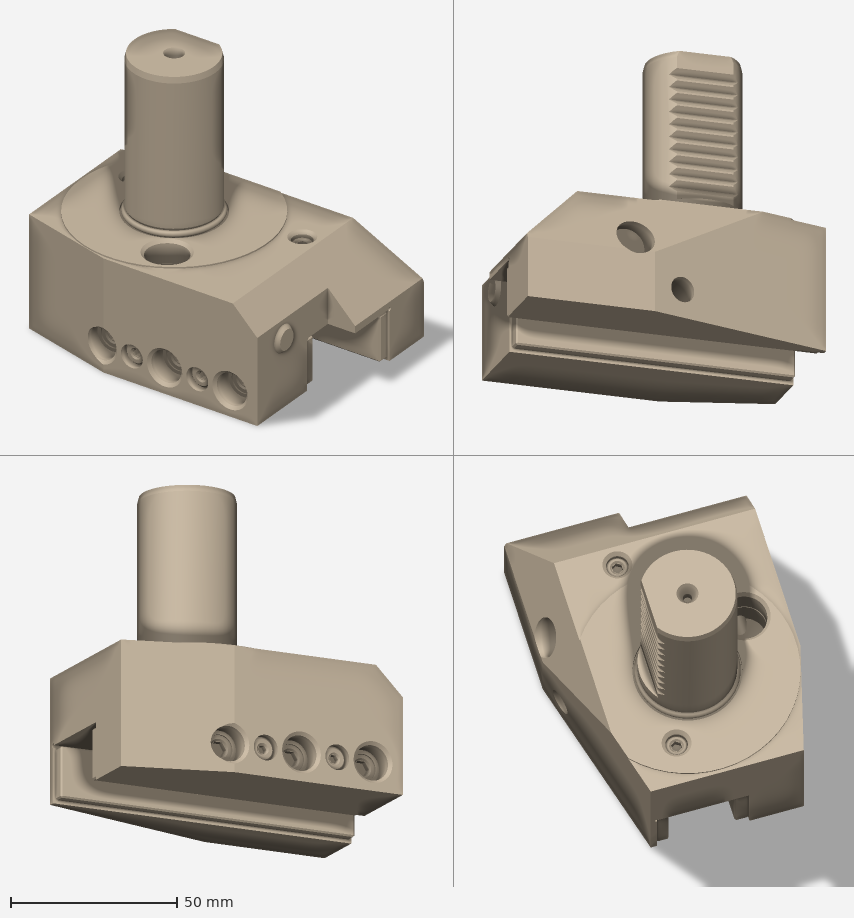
import cadquery as cq
import math


LEFT, RIGHT = -35.0, 65.0
FRONT, BACK = -35.0, 38.0
LEFT_FACE_FRONT, LEFT_FACE_BACK = -26.0, 22.0
SIDE_TAPER = math.tan(math.radians(15))
BLOCK_TOP = 39.5
SIDE_BEVEL = 19.0
BACK_BEVEL_START = 28.1
BACK_EDGE_HEIGHT = 19.0
STEP_X, STEP_Y = 55.0, 2.0

SEAT_HEIGHT = 40.0
SEAT_RADIUS = 34.0
RING_GROOVE_RADIUS = 16.5
RING_GROOVE_DEPTH = 1.0
RING_OUTER_RADIUS = 16.0
RING_SECTION = 1.0

SHANK_RADIUS = 15.0
SHANK_TOP = 94.7
SHANK_ROOT = SEAT_HEIGHT - 10.0
TIP_CHAMFER_WIDTH, TIP_CHAMFER_HEIGHT = 0.5, 2.0
NECK_RADIUS = 14.6
NECK_BOTTOM, NECK_TOP = 41.6, 42.4
FLAT_Y = 12.0
FLAT_BOTTOM = 47.0
TOOTH_COUNT = 10
TOOTH_PITCH = 4.0
TOOTH_DEPTH = 1.7
FIRST_TOOTH_GAP = 51.4
CENTRE_MOUTH_RADIUS, CENTRE_DRILL_RADIUS = 3.3, 1.4
CENTRE_DRILL_DEPTH = 6.0
CENTRE_ANGLE = math.radians(60)

SLOT_FRONT, SLOT_BACK = -9.0, 20.0
SLOT_HEIGHT = 18.0
RELIEF_RADIUS = 0.7
PAD_MARGIN = 0.7
PAD_BOTTOM, PAD_TOP = 1.0, 17.0
BACK_PAD_THICKNESS, FRONT_PAD_THICKNESS = 4.0, 4.4
PAD_CHAMFER = 0.5

CLAMP_SCREW = (5.5, 1.0, 7.5, 4.3, 0.5, 4.5)
PAD_SCREW = (4.0, 0, 2.0, 3.2, -0.8, 2.5)
TOP_SCREW = (3.4, 1.1, 2.0, 2.9, -0.5, 3.0)
SOCKET_DEPTH = 2.5
SOCKET_SINK = 0.5
SCREW_HEIGHT = 9.0
SCREW_PITCH = 24.0
FIRST_CLAMP_X = -3.0
CLAMP_COUNT = 3
TOP_SCREW_X = (-22.0, 40.0)
TOP_SCREW_Y = 10.0

COOLANT_X, COOLANT_Y, COOLANT_HEIGHT = 12.5, -21.5, 24.0
COOLANT_MOUTH_RADIUS, COOLANT_RADIUS = 7.0, 6.8
COOLANT_LEDGE, COOLANT_SHOULDER = 32.0, 24.1
COOLANT_CHAMFER = 1.0
POINT_ANGLE = math.radians(118)
CROSS_DRILL_RADIUS = 2.4
NOZZLE_BASE_RADIUS, NOZZLE_TIP_RADIUS = 4.7, 3.5
NOZZLE_LENGTH = 1.4

PORT_X, PORT_RADIUS, PORT_DEPTH = 30.0, 6.0, 12.0
BACK_SCREW_X, BACK_SCREW_RADIUS = 15.0, 4.0

OVERCUT = 5.0


def box(x, y, z):
    """Box between the given (low, high) limits on each axis."""
    size = (x[1] - x[0], y[1] - y[0], z[1] - z[0])
    return cq.Workplane("XY").box(*size, centered=False).translate((x[0], y[0], z[0]))


def revolved(profile):
    """Turn a closed (radius, height) outline about the Z axis."""
    return cq.Workplane("XZ").polyline(profile).close().revolve(360, (0, 0), (0, 1))


def facing_front(tool):
    """Turn a tool that sinks along -Z so that it sinks along +Y."""
    return tool.rotate((0, 0, 0), (1, 0, 0), 90)


def drill_from_back(x, z, radius, end_y):
    """Straight drilling along Y from the back face to end_y."""
    return cq.Workplane("XZ", origin=(x, BACK, z)).circle(radius).extrude(BACK - end_y)


def outer_envelope():
    """Tapered plan with the step, up to the seat height and with the bevelled back."""
    front_taper_x = LEFT + (LEFT_FACE_FRONT - FRONT) / SIDE_TAPER
    back_taper_x = LEFT + (BACK - LEFT_FACE_BACK) / SIDE_TAPER
    plan = [
        (LEFT, LEFT_FACE_FRONT),
        (front_taper_x, FRONT),
        (STEP_X, FRONT),
        (STEP_X, STEP_Y),
        (RIGHT, STEP_Y),
        (RIGHT, BACK),
        (back_taper_x, BACK),
        (LEFT, LEFT_FACE_BACK),
    ]
    body = cq.Workplane("XY").polyline(plan).close().extrude(SEAT_HEIGHT)
    bevel_slope = (BLOCK_TOP - BACK_EDGE_HEIGHT) / (BACK - BACK_BEVEL_START)
    overcut_rise = OVERCUT * bevel_slope
    bevel = [
        (BACK + OVERCUT, BACK_EDGE_HEIGHT - overcut_rise),
        (BACK_BEVEL_START - OVERCUT, BLOCK_TOP + overcut_rise),
        (BACK + OVERCUT, BLOCK_TOP + overcut_rise),
    ]
    waste = cq.Workplane("YZ", origin=(LEFT, 0, 0)).polyline(bevel).close().extrude(RIGHT - LEFT)
    return body.cut(waste)


def block_with_seat():
    envelope = outer_envelope()
    side = [
        (LEFT, 0),
        (RIGHT, 0),
        (RIGHT, BLOCK_TOP - SIDE_BEVEL),
        (RIGHT - SIDE_BEVEL, BLOCK_TOP),
        (LEFT, BLOCK_TOP),
    ]
    side_limit = cq.Workplane("XZ", origin=(0, BACK, 0)).polyline(side).close().extrude(BACK - FRONT)
    seat = cq.Workplane("XY").circle(SEAT_RADIUS).extrude(SEAT_HEIGHT)
    seat = seat.intersect(box((LEFT, STEP_X), (FRONT, BACK), (SLOT_HEIGHT, SEAT_HEIGHT)))
    return envelope.intersect(side_limit).union(envelope.intersect(seat))


def tool_slot():
    slot = box((LEFT, RIGHT), (SLOT_FRONT, SLOT_BACK), (0, SLOT_HEIGHT))
    corner = cq.Workplane("YZ", origin=(LEFT, SLOT_BACK, SLOT_HEIGHT))
    return slot.union(corner.circle(RELIEF_RADIUS).extrude(RIGHT - LEFT))


def pads():
    """Chamfered pads on both walls of the tool slot."""
    height = (PAD_BOTTOM, PAD_TOP)
    start = LEFT + PAD_MARGIN
    back = box((start, RIGHT - PAD_MARGIN), (SLOT_BACK - BACK_PAD_THICKNESS, SLOT_BACK), height)
    front = box((start, STEP_X - PAD_MARGIN), (SLOT_FRONT, SLOT_FRONT + FRONT_PAD_THICKNESS), height)
    return back.edges().chamfer(PAD_CHAMFER), front.edges().chamfer(PAD_CHAMFER)


def screw_socket(width, top):
    """Countersunk hexagon socket below the given height."""
    corner_radius = width / 2 / math.cos(math.radians(30))
    hexagon = cq.Workplane("XY", origin=(0, 0, top)).polygon(6, 2 * corner_radius).extrude(-SOCKET_DEPTH)
    sink = revolved([
        (0, top),
        (corner_radius + SOCKET_SINK, top),
        (corner_radius, top - SOCKET_SINK),
        (0, top - SOCKET_SINK),
    ])
    return hexagon.union(sink)


def set_screw_recess(bore, mouth_chamfer, depth, face_radius, ledge, socket_width):
    """Space left above a set screw that is sunk below Z = 0."""
    face = -depth
    outline = [(0, 0), (bore + mouth_chamfer, 0)]
    if mouth_chamfer > 0:
        outline.append((bore, -mouth_chamfer))
    outline.append((bore, face + ledge))
    if ledge > 0:
        outline.append((face_radius, face + ledge))
    outline += [(face_radius, face), (0, face)]
    return revolved(outline).union(screw_socket(socket_width, face))


def set_screw_recesses():
    recesses = []
    clamp = facing_front(set_screw_recess(*CLAMP_SCREW))
    for i in range(CLAMP_COUNT):
        recesses.append(clamp.translate((FIRST_CLAMP_X + i * SCREW_PITCH, FRONT, SCREW_HEIGHT)))
    pad_screw = facing_front(set_screw_recess(*PAD_SCREW))
    for i in range(CLAMP_COUNT - 1):
        x = FIRST_CLAMP_X + (i + 0.5) * SCREW_PITCH
        recesses.append(pad_screw.translate((x, FRONT, SCREW_HEIGHT)))
    top_screw = set_screw_recess(*TOP_SCREW)
    for x in TOP_SCREW_X:
        top = SEAT_HEIGHT if math.hypot(x, TOP_SCREW_Y) < SEAT_RADIUS else BLOCK_TOP
        recesses.append(top_screw.translate((x, TOP_SCREW_Y, top)))
    return recesses


def coolant_passage():
    """Vertical stepped drilling with a conical bottom, joined to a drilling along X."""
    tip = COOLANT_SHOULDER - COOLANT_RADIUS / math.tan(POINT_ANGLE / 2)
    well = revolved([
        (0, SEAT_HEIGHT),
        (COOLANT_MOUTH_RADIUS + COOLANT_CHAMFER, SEAT_HEIGHT),
        (COOLANT_MOUTH_RADIUS, SEAT_HEIGHT - COOLANT_CHAMFER),
        (COOLANT_MOUTH_RADIUS, COOLANT_LEDGE),
        (COOLANT_RADIUS, COOLANT_LEDGE),
        (COOLANT_RADIUS, COOLANT_SHOULDER),
        (0, tip),
    ]).translate((COOLANT_X, COOLANT_Y, 0))
    start = cq.Workplane("YZ", origin=(COOLANT_X, COOLANT_Y, COOLANT_HEIGHT))
    return well.union(start.circle(CROSS_DRILL_RADIUS).extrude(STEP_X - COOLANT_X))


def coolant_nozzle():
    """Conical plug that closes the cross drilling on the right side."""
    plug = revolved([
        (0, 0),
        (NOZZLE_BASE_RADIUS, 0),
        (NOZZLE_TIP_RADIUS, NOZZLE_LENGTH),
        (0, NOZZLE_LENGTH),
    ])
    return plug.rotate((0, 0, 0), (0, 1, 0), 90).translate((STEP_X, COOLANT_Y, COOLANT_HEIGHT))


def back_holes():
    port = drill_from_back(PORT_X, COOLANT_HEIGHT, PORT_RADIUS, BACK - PORT_DEPTH)
    screw = drill_from_back(BACK_SCREW_X, SCREW_HEIGHT, BACK_SCREW_RADIUS, SLOT_BACK)
    return port.union(screw)


def tooth_gaps():
    """Right-angled notches across the flat of the shank."""
    gaps = []
    reach = TOOTH_DEPTH + SHANK_RADIUS - FLAT_Y
    root = FLAT_Y - TOOTH_DEPTH
    for i in range(TOOTH_COUNT):
        z = FIRST_TOOTH_GAP + i * TOOTH_PITCH
        notch = [(root, z), (root + reach, z + reach), (root + reach, z - reach)]
        gaps.append(cq.Workplane("YZ").polyline(notch).close().extrude(SHANK_RADIUS, both=True))
    return gaps


def shank():
    body = revolved([
        (0, SHANK_ROOT),
        (NECK_RADIUS, SHANK_ROOT),
        (NECK_RADIUS, NECK_BOTTOM),
        (SHANK_RADIUS, NECK_TOP),
        (SHANK_RADIUS, SHANK_TOP - TIP_CHAMFER_HEIGHT),
        (SHANK_RADIUS - TIP_CHAMFER_WIDTH, SHANK_TOP),
        (0, SHANK_TOP),
    ])
    across = (-SHANK_RADIUS, SHANK_RADIUS)
    above_shoulder = (FLAT_BOTTOM, SHANK_TOP)
    body = body.cut(box(across, (FLAT_Y, SHANK_RADIUS), above_shoulder))
    toothed_zone = box(across, (0, SHANK_RADIUS), above_shoulder)
    for gap in tooth_gaps():
        body = body.cut(gap.intersect(toothed_zone))
    sink_depth = (CENTRE_MOUTH_RADIUS - CENTRE_DRILL_RADIUS) / math.tan(CENTRE_ANGLE / 2)
    centre = revolved([
        (0, SHANK_TOP),
        (CENTRE_MOUTH_RADIUS, SHANK_TOP),
        (CENTRE_DRILL_RADIUS, SHANK_TOP - sink_depth),
        (CENTRE_DRILL_RADIUS, SHANK_TOP - CENTRE_DRILL_DEPTH),
        (0, SHANK_TOP - CENTRE_DRILL_DEPTH),
    ])
    return body.cut(centre)


def ring_groove():
    groove = cq.Workplane("XY", origin=(0, 0, SEAT_HEIGHT - RING_GROOVE_DEPTH))
    return groove.circle(RING_GROOVE_RADIUS).extrude(RING_GROOVE_DEPTH)


def o_ring():
    """Ring with a half-round outer side, level with the bottom of the shank neck."""
    middle_radius = RING_OUTER_RADIUS - RING_SECTION
    bottom = NECK_BOTTOM - 2 * RING_SECTION
    section = cq.Workplane("XZ").moveTo(0, bottom).lineTo(middle_radius, bottom)
    section = section.threePointArc((RING_OUTER_RADIUS, bottom + RING_SECTION), (middle_radius, NECK_BOTTOM))
    return section.lineTo(0, NECK_BOTTOM).close().revolve(360, (0, 0), (0, 1))


result = block_with_seat().cut(tool_slot()).cut(ring_groove())
result = result.union(shank()).union(o_ring())
result = result.cut(coolant_passage()).cut(back_holes())
for recess in set_screw_recesses():
    result = result.cut(recess)
result = result.union(coolant_nozzle())
for pad in pads():
    result = result.union(pad)